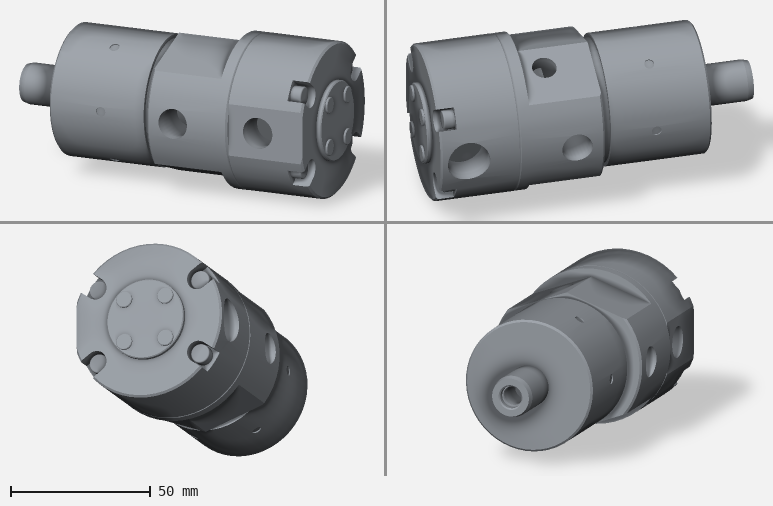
import cadquery as cq
import math


SHAFT_DIA = 15.1
SHAFT_TIP_DIA = 14.0
SHAFT_TAPER_LENGTH = 2.2
SHAFT_BORE_MOUTH_DIA = 9.1
SHAFT_BORE_DIA = 8.1
SHAFT_BORE_CHAMFER = (SHAFT_BORE_MOUTH_DIA - SHAFT_BORE_DIA) / 2
SHAFT_BORE_STEP_X = 2.5
THREAD_MOUTH_DIA = 7.2
THREAD_DIA = 6.9
THREAD_START_X = 3.4
SHAFT_BORE_DEPTH = 14.7
DRUM_DIA = 48.2
DRUM_FRONT_X = 19.3
DRUM_REAR_X = 56.5
NECK_DIA = 45.3
STEM_DIA = 25.5
STEM_END_X = 77.0
SPANNER_HOLE_DIA = 3.5
SPANNER_HOLE_DEPTH = 0.5
SPANNER_HOLE_COUNT = 6
SPANNER_HOLE_X = 39.7

BODY_DIA = 57.0
EDGE_CHAMFER = 0.7
HOUSING_FRONT_X = 59.5
HOUSING_REAR_X = 91.0
FLATS_END_X = 86.2
FLAT_DISTANCE = 24.0
FLAT_ANGLE = 20.0
DRAIN_PORT_MOUTH_DIA = 11.1
DRAIN_PORT_FLOOR_DIA = 10.5
DRAIN_PORT_FLOOR_Y = 9.8
DRAIN_PORT_X = 69.8
SIDE_PORT_DIA = 8.8
SIDE_PORT_X = 77.3

SPIGOT_DIA = 37.0
CAP_REAR_X = 119.9
AIR_FLAT_DISTANCE = 26.8
AIR_PORT_DIA = 11.5
AIR_PORT_DEPTH = 12.2
AIR_PORT_X = 102.4
MEDIA_PORT_DIA = 15.5
MEDIA_PORT_DEPTH = 12.2
MEDIA_PORT_X = 109.6
SCREW_SLOT_WIDTH = 8.0
SCREW_SLOT_DEPTH = 6.5
SCREW_ANGLE = 35.0
SCREW_RADIUS = 23.6
SCREW_HEAD_DIA = 7.0
SCREW_HEAD_HEIGHT = 4.0
SCREW_HEAD_FILLET = 0.5
PLATE_DIA = 29.3
PLATE_REAR_X = 121.7
PLATE_CHAMFER = 0.4
OVERALL_LENGTH = 122.5
BUTTON_HEAD_DIA = 6.0
BUTTON_HEAD_CHAMFER = 0.2
BUTTON_HEAD_SPACING = 15.7


def rod(x_start, x_end, diameter, y=0.0, z=0.0):
    """Cylinder parallel to the X axis."""
    return cq.Workplane(cq.Solid.makeCylinder(
        diameter / 2, x_end - x_start, cq.Vector(x_start, y, z), cq.Vector(1, 0, 0)))


def radial_pin(x, angle, diameter, r_start, r_end):
    """Cylinder along a radius, at an angle measured from +Y toward +Z."""
    direction = cq.Vector(0, math.cos(math.radians(angle)), math.sin(math.radians(angle)))
    start = cq.Vector(x, 0, 0) + direction * r_start
    return cq.Workplane(cq.Solid.makeCylinder(diameter / 2, r_end - r_start, start, direction))


def block_beyond(distance, angle, x_start, x_end):
    """Block that lies outside a flat at a distance from the axis, its normal at an angle from +Y."""
    block = cq.Workplane("XY").box(x_end - x_start, BODY_DIA, 2 * BODY_DIA, centered=(False, False, True))
    return block.translate((x_start, distance, 0)).rotate((0, 0, 0), (1, 0, 0), angle)


def shaft_bore():
    """Stepped blind bore in the shaft end: chamfer, plain bore, step, taper and threaded length."""
    profile = [
        (0, 0),
        (0, SHAFT_BORE_MOUTH_DIA / 2),
        (SHAFT_BORE_CHAMFER, SHAFT_BORE_DIA / 2),
        (SHAFT_BORE_STEP_X, SHAFT_BORE_DIA / 2),
        (SHAFT_BORE_STEP_X, THREAD_MOUTH_DIA / 2),
        (THREAD_START_X, THREAD_DIA / 2),
        (SHAFT_BORE_DEPTH, THREAD_DIA / 2),
        (SHAFT_BORE_DEPTH, 0),
    ]
    return cq.Workplane("XY").polyline(profile).close().revolve(360, (0, 0, 0), (1, 0, 0))


def make_rotor():
    """Shaft end, drum with spanner holes, neck, and the stem that sits in the housing bore."""
    shaft = rod(0, DRUM_FRONT_X, SHAFT_DIA)
    shaft = shaft.faces("<X").chamfer(SHAFT_TAPER_LENGTH, (SHAFT_DIA - SHAFT_TIP_DIA) / 2)
    drum = rod(DRUM_FRONT_X, DRUM_REAR_X, DRUM_DIA).faces("<X").chamfer(EDGE_CHAMFER)
    neck = rod(DRUM_REAR_X, HOUSING_FRONT_X, NECK_DIA)
    stem = rod(HOUSING_FRONT_X, STEM_END_X, STEM_DIA)
    rotor = shaft.union(drum).union(neck).union(stem).cut(shaft_bore())

    for i in range(SPANNER_HOLE_COUNT):
        angle = i * 360 / SPANNER_HOLE_COUNT
        rotor = rotor.cut(radial_pin(SPANNER_HOLE_X, angle, SPANNER_HOLE_DIA,
                                     DRUM_DIA / 2 - SPANNER_HOLE_DEPTH, DRUM_DIA))
    return rotor


def drain_port():
    """Tapered port along +Y, from inside the stem bore to the outer surface."""
    length = BODY_DIA / 2 - DRAIN_PORT_FLOOR_Y
    floor_centre = cq.Vector(DRAIN_PORT_X, DRAIN_PORT_FLOOR_Y, 0)
    return cq.Workplane(cq.Solid.makeCone(
        DRAIN_PORT_FLOOR_DIA / 2, DRAIN_PORT_MOUTH_DIA / 2, length, floor_centre, cq.Vector(0, 1, 0)))


def make_housing():
    """Middle sleeve with two pairs of wrench flats, bored for the rotor stem and the cap spigot."""
    housing = rod(HOUSING_FRONT_X, HOUSING_REAR_X, BODY_DIA).faces("<X or >X").chamfer(EDGE_CHAMFER)
    for axis_angle in (90, 270):
        for tilt in (-FLAT_ANGLE, FLAT_ANGLE):
            wrench_flat = block_beyond(FLAT_DISTANCE, axis_angle + tilt, HOUSING_FRONT_X, FLATS_END_X)
            housing = housing.cut(wrench_flat)

    housing = housing.cut(rod(HOUSING_FRONT_X, STEM_END_X, STEM_DIA))
    housing = housing.cut(rod(STEM_END_X, HOUSING_REAR_X, SPIGOT_DIA))
    for angle in (0, 180):
        housing = housing.cut(drain_port().rotate((0, 0, 0), (1, 0, 0), angle))
    return housing.cut(radial_pin(SIDE_PORT_X, 90 - FLAT_ANGLE, SIDE_PORT_DIA, 0, BODY_DIA))


def screw_slot():
    """Slot open to the rear and the outside, with a round inner end."""
    x_start = CAP_REAR_X - SCREW_SLOT_DEPTH
    round_end = rod(x_start, CAP_REAR_X, SCREW_SLOT_WIDTH, SCREW_RADIUS)
    channel = cq.Workplane("XY").box(
        SCREW_SLOT_DEPTH, BODY_DIA, SCREW_SLOT_WIDTH, centered=(False, False, True))
    return round_end.union(channel.translate((x_start, SCREW_RADIUS, 0)))


def screw_head():
    """Round screw head standing on the floor of its slot."""
    x_start = CAP_REAR_X - SCREW_SLOT_DEPTH
    head = rod(x_start, x_start + SCREW_HEAD_HEIGHT, SCREW_HEAD_DIA, SCREW_RADIUS)
    return head.faces(">X").edges().fillet(SCREW_HEAD_FILLET)


def make_cap():
    """Rear cap with spigot, ports, screw slots, and the end plate with its button heads."""
    cap = rod(HOUSING_REAR_X, CAP_REAR_X, BODY_DIA).faces(">X").chamfer(EDGE_CHAMFER)
    cap = cap.cut(block_beyond(AIR_FLAT_DISTANCE, 180, HOUSING_REAR_X, CAP_REAR_X))
    cap = cap.union(rod(STEM_END_X, HOUSING_REAR_X, SPIGOT_DIA))

    cap = cap.cut(radial_pin(AIR_PORT_X, 180, AIR_PORT_DIA, AIR_FLAT_DISTANCE - AIR_PORT_DEPTH, BODY_DIA))
    cap = cap.cut(radial_pin(MEDIA_PORT_X, 0, MEDIA_PORT_DIA, BODY_DIA / 2 - MEDIA_PORT_DEPTH, BODY_DIA))

    for angle in (SCREW_ANGLE, 180 - SCREW_ANGLE, 180 + SCREW_ANGLE, -SCREW_ANGLE):
        cap = cap.cut(screw_slot().rotate((0, 0, 0), (1, 0, 0), angle))
        cap = cap.union(screw_head().rotate((0, 0, 0), (1, 0, 0), angle))

    cap = cap.union(rod(CAP_REAR_X, PLATE_REAR_X, PLATE_DIA).faces(">X").chamfer(PLATE_CHAMFER))
    for y in (-BUTTON_HEAD_SPACING / 2, BUTTON_HEAD_SPACING / 2):
        for z in (-BUTTON_HEAD_SPACING / 2, BUTTON_HEAD_SPACING / 2):
            head = rod(PLATE_REAR_X, OVERALL_LENGTH, BUTTON_HEAD_DIA, y, z)
            cap = cap.union(head.faces(">X").chamfer(BUTTON_HEAD_CHAMFER))
    return cap


rotor = make_rotor()
housing = make_housing()
cap = make_cap()

result = cq.Compound.makeCompound([rotor.val(), housing.val(), cap.val()])